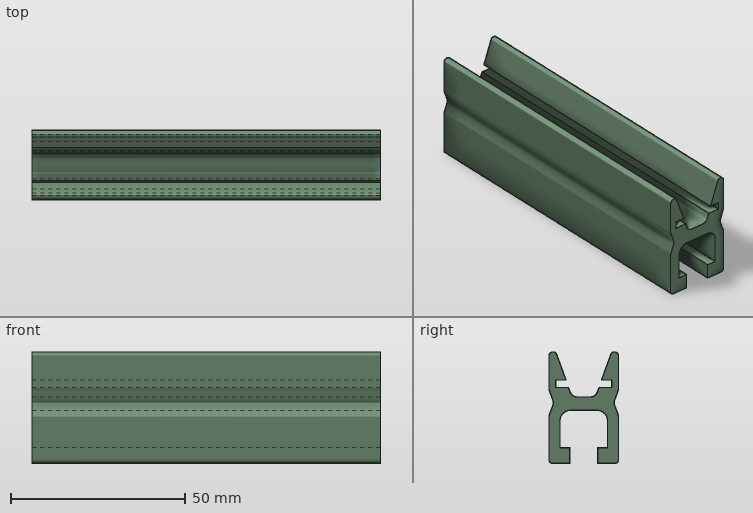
import cadquery as cq
import math

length = 100.0
width = 20.0
height = 32.0
half_width = width / 2
outer_corner_radius = 1.0

mouth_half_width = 4.0
lip_thickness = 4.5
channel_half_width = 6.8
channel_ceiling = 15.2
channel_corner_radius = 3.0

groove_center_height = 17.4
groove_half_height = 3.75
groove_flank_angle = math.radians(20)
groove_depth = groove_half_height * math.tan(groove_flank_angle)
groove_round_radius = 2.0

jaw_outer_radius = 1.2
jaw_inner_radius = 1.0
jaw_tip_flat = 0.1
jaw_flank_angle = math.radians(20)
slot_half_width = 8.0
slot_floor = 21.8
slot_height = 2.1
slot_roof = slot_floor + slot_height

valley_top_half_width = 4.4
valley_floor_half_width = 3.3
valley_floor = 19.1
valley_corner_radius = 2.0

CUT_MARGIN = 1.0


def extrude_outline(points):
    """Extrude a closed (Y, Z) outline along the full length."""
    profile = cq.Workplane("YZ").polyline(points).close()
    return profile.extrude(length / 2, both=True)


def round_edges(solid, places, radius):
    """Round the lengthwise edges at the given (Y, Z) places and their mirror images."""
    for y, z in places:
        for side in (-1, 1):
            edge = cq.selectors.NearestToPointSelector((0, side * y, z))
            solid = solid.edges("|X").edges(edge).fillet(radius)
    return solid


def make_body():
    """Outer block with side grooves and rounded bottom corners."""
    groove_bottom = groove_center_height - groove_half_height
    groove_top = groove_center_height + groove_half_height
    groove_root = half_width - groove_depth
    right_side = [
        (half_width, 0),
        (half_width, groove_bottom),
        (groove_root, groove_center_height),
        (half_width, groove_top),
        (half_width, height),
    ]
    left_side = [(-y, z) for y, z in reversed(right_side)]
    body = extrude_outline(right_side + left_side)
    body = round_edges(body, right_side[1:4], groove_round_radius)
    return round_edges(body, right_side[:1], outer_corner_radius)


def make_channel():
    """Lower cavity together with its narrower mouth."""
    cavity_height = channel_ceiling - lip_thickness
    cavity = (
        cq.Workplane("XY")
        .box(length, 2 * channel_half_width, cavity_height, centered=(True, True, False))
        .translate((0, 0, lip_thickness))
        .edges("|X and >Z")
        .fillet(channel_corner_radius)
    )
    mouth = (
        cq.Workplane("XY")
        .box(length, 2 * mouth_half_width, lip_thickness + CUT_MARGIN, centered=(True, True, False))
        .translate((0, 0, -CUT_MARGIN))
    )
    return cavity.union(mouth)


def make_jaw_opening():
    """Space between the jaws, with rounded jaw tips, undercut slots and valley."""
    outer_center_y = half_width - jaw_outer_radius
    outer_center_z = height - jaw_outer_radius
    inner_center_y = outer_center_y - jaw_tip_flat
    inner_center_z = height - jaw_inner_radius
    tangent_y = inner_center_y - jaw_inner_radius * math.cos(jaw_flank_angle)
    tangent_z = inner_center_z + jaw_inner_radius * math.sin(jaw_flank_angle)
    hook_y = tangent_y - (tangent_z - slot_roof) * math.tan(jaw_flank_angle)
    inner_mid_angle = (math.pi / 2 + jaw_flank_angle) / 2
    inner_arc_y = inner_center_y - jaw_inner_radius * math.cos(inner_mid_angle)
    inner_arc_z = inner_center_z + jaw_inner_radius * math.sin(inner_mid_angle)
    outer_arc_y = outer_center_y + jaw_outer_radius * math.sin(math.pi / 4)
    outer_arc_z = outer_center_z + jaw_outer_radius * math.cos(math.pi / 4)
    outside_y = half_width + CUT_MARGIN
    above_z = height + CUT_MARGIN

    half_opening = (
        cq.Workplane("YZ")
        .moveTo(0, valley_floor)
        .lineTo(valley_floor_half_width, valley_floor)
        .lineTo(valley_top_half_width, slot_floor)
        .lineTo(slot_half_width, slot_floor)
        .lineTo(slot_half_width, slot_roof)
        .lineTo(hook_y, slot_roof)
        .lineTo(tangent_y, tangent_z)
        .threePointArc((inner_arc_y, inner_arc_z), (inner_center_y, height))
        .lineTo(outer_center_y, height)
        .threePointArc((outer_arc_y, outer_arc_z), (half_width, outer_center_z))
        .lineTo(outside_y, outer_center_z)
        .lineTo(outside_y, above_z)
        .lineTo(0, above_z)
        .close()
        .extrude(length / 2, both=True)
    )
    opening = half_opening.union(half_opening.mirror("XZ")).clean()
    return round_edges(opening, [(valley_floor_half_width, valley_floor)], valley_corner_radius)


result = make_body().cut(make_channel()).cut(make_jaw_opening())

result = result.translate((0, 0, -height / 2))